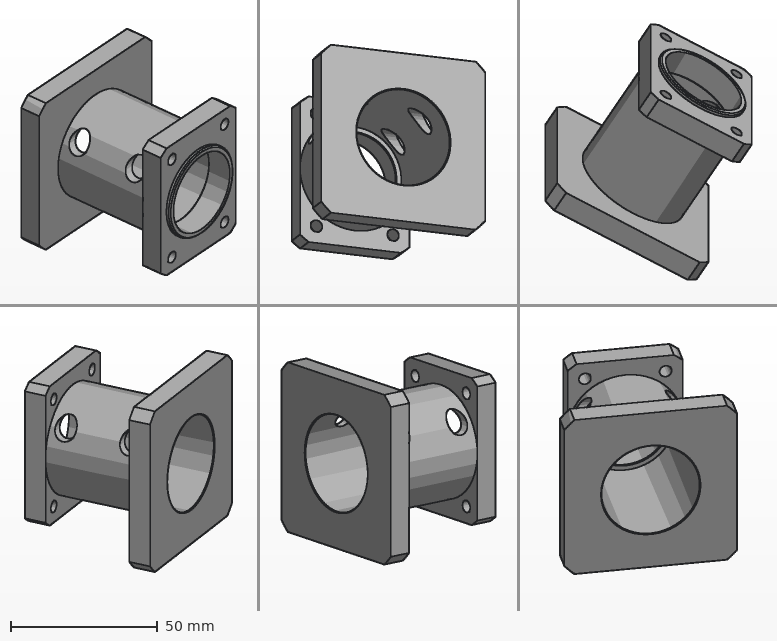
import cadquery as cq

total_length = 55.0
flange_thickness = 8.0
lip_length = 1.5
small_flange_end = total_length - lip_length
small_flange_start = small_flange_end - flange_thickness

tube_diameter = 40.0
main_bore_diameter = 34.0
end_bore_diameter = 30.0
main_bore_depth = small_flange_start
lip_diameter = main_bore_diameter
edge_chamfer = 0.5
bore_chamfer = 0.3

large_flange_side = 60.0
large_flange_corner_diameter = 80.0
small_flange_width = 40.0
small_flange_height = 52.0
small_flange_corner_diameter = 62.0

screw_hole_diameter = 4.2
screw_spacing_y = 28.0
screw_spacing_z = 40.0

cross_hole_diameter = 8.0
cross_hole_height = 11.25
first_cross_hole_x = 14.5
cross_hole_spacing = 25.0


def plane_at(x):
    """Plane normal to the tube axis; local x is Y and local y is Z."""
    return cq.Workplane("YZ", origin=(x, 0, 0))


def rod(x, length, diameter):
    return plane_at(x).circle(diameter / 2).extrude(length)


def flange(x, width, height, corner_diameter):
    plate = plane_at(x).rect(width, height).extrude(flange_thickness)
    return plate.intersect(rod(x, flange_thickness, corner_diameter))


def make_body():
    large_flange = flange(0, large_flange_side, large_flange_side, large_flange_corner_diameter)
    tube = rod(0, small_flange_end, tube_diameter)
    small_flange = flange(
        small_flange_start, small_flange_width, small_flange_height, small_flange_corner_diameter
    )
    lip = rod(small_flange_start, total_length - small_flange_start, lip_diameter)
    lip = lip.faces(">X").chamfer(edge_chamfer)
    return large_flange.union(tube).union(small_flange).union(lip)


def make_bore():
    """Stepped bore, with the mouth and the edge of the inner shoulder chamfered."""
    main_radius = main_bore_diameter / 2
    end_radius = end_bore_diameter / 2
    half_profile = (
        cq.Workplane("XY")
        .moveTo(0, 0)
        .lineTo(0, main_radius + bore_chamfer)
        .lineTo(bore_chamfer, main_radius)
        .lineTo(main_bore_depth, main_radius)
        .lineTo(main_bore_depth, end_radius + bore_chamfer)
        .lineTo(main_bore_depth + bore_chamfer, end_radius)
        .lineTo(total_length, end_radius)
        .lineTo(total_length, 0)
        .close()
    )
    return half_profile.revolve(360, (0, 0, 0), (1, 0, 0))


def make_screw_holes():
    return (
        plane_at(small_flange_start)
        .rect(screw_spacing_y, screw_spacing_z, forConstruction=True)
        .vertices()
        .circle(screw_hole_diameter / 2)
        .extrude(flange_thickness)
    )


def make_cross_holes():
    second_cross_hole_x = first_cross_hole_x + cross_hole_spacing
    centers = [(first_cross_hole_x, cross_hole_height), (second_cross_hole_x, cross_hole_height)]
    return (
        cq.Workplane("XZ")
        .pushPoints(centers)
        .circle(cross_hole_diameter / 2)
        .extrude(tube_diameter / 2, both=True)
    )


result = make_body().cut(make_bore()).cut(make_screw_holes()).cut(make_cross_holes())